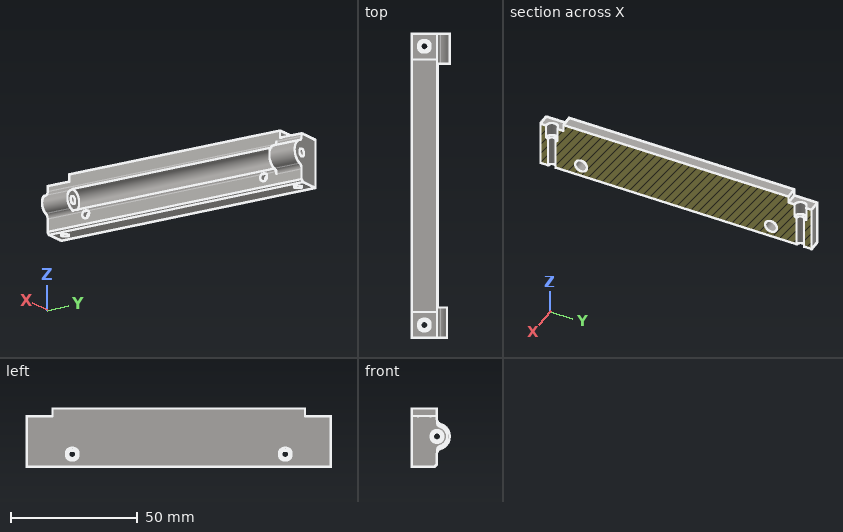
import cadquery as cq
import math

bar_length = 120.0
half_length = bar_length / 2
bar_width = 10.0
bar_height = 23.0
bottom_chamfer = 1.0

seat_length = 10.2
seat_depth = 3.0
seat_height = bar_height - seat_depth

hinge_z = 12.0
boss_length = 12.0
far_boss_radius = 5.0
near_boss_diameter = 8.0
near_boss_radius = near_boss_diameter / 2
boss_fillet = 2.0

groove_diameter = 9.0
groove_length = bar_length - 2 * boss_length

entry_diameter = 5.0
bore_diameter = 3.2
entry_depth = 6.0
shoulder_angle = 118.0

side_hole_y = 42.0
hole_edge_distance = 5.0
seat_hole_y = half_length - hole_edge_distance


def make_bar():
    bar = cq.Workplane("XY").box(bar_width, bar_length, bar_height, centered=(False, True, False))
    bar = bar.edges(">X and <Z").chamfer(bottom_chamfer)
    for end in (-1, 1):
        seat = (
            cq.Workplane("XY")
            .box(bar_width, seat_length, seat_depth, centered=(False, True, False))
            .translate((0, end * (half_length - seat_length / 2), seat_height))
        )
        bar = bar.cut(seat)
    return bar


def make_boss(radius, start_y, length):
    """Half-round boss blended into the +X face by a concave fillet above and below."""
    reach = radius + boss_fillet
    spread = math.sqrt(reach**2 - boss_fillet**2)
    tangent_x = bar_width + boss_fillet * radius / reach
    tangent_rise = spread * radius / reach
    fillet_sweep = math.atan2(spread, boss_fillet)
    mid_x = bar_width + boss_fillet - boss_fillet * math.cos(fillet_sweep / 2)
    mid_rise = spread - boss_fillet * math.sin(fillet_sweep / 2)
    root_x = bar_width / 2
    profile = (
        cq.Workplane("XZ", origin=(0, start_y, hinge_z))
        .moveTo(root_x, -spread)
        .lineTo(bar_width, -spread)
        .threePointArc((mid_x, -mid_rise), (tangent_x, -tangent_rise))
        .threePointArc((bar_width + radius, 0), (tangent_x, tangent_rise))
        .threePointArc((mid_x, mid_rise), (bar_width, spread))
        .lineTo(root_x, spread)
        .close()
    )
    return profile.extrude(-length)


def make_groove():
    return (
        cq.Workplane("XZ", origin=(bar_width, -groove_length / 2, hinge_z))
        .circle(groove_diameter / 2)
        .extrude(-groove_length)
    )


def stepped_hole(start, direction, length):
    """Cutter for a hole that enters wide and narrows over a conical shoulder."""
    entry_radius = entry_diameter / 2
    bore_radius = bore_diameter / 2
    shoulder = (entry_radius - bore_radius) / math.tan(math.radians(shoulder_angle / 2))
    half_section = [
        (0, 0),
        (entry_radius, 0),
        (entry_radius, entry_depth),
        (bore_radius, entry_depth + shoulder),
        (bore_radius, length),
        (0, length),
    ]
    cutter = cq.Workplane("XZ").polyline(half_section).close().revolve(360, (0, 0, 0), (0, 1, 0))
    plane = cq.Plane(origin=start, normal=direction)
    return cq.Workplane(cutter.val().moved(cq.Location(plane)))


result = make_bar()
result = result.union(make_boss(near_boss_radius, -half_length, bar_length - boss_length))
result = result.cut(make_groove())
result = result.union(make_boss(far_boss_radius, half_length - boss_length, boss_length))

for end in (-1, 1):
    result = result.cut(stepped_hole((0, end * side_hole_y, hole_edge_distance), (1, 0, 0), bar_width))
    result = result.cut(stepped_hole((bar_width / 2, end * seat_hole_y, seat_height), (0, 0, -1), seat_height))

result = result.cut(stepped_hole((bar_width, -half_length, hinge_z), (0, 1, 0), bar_length))